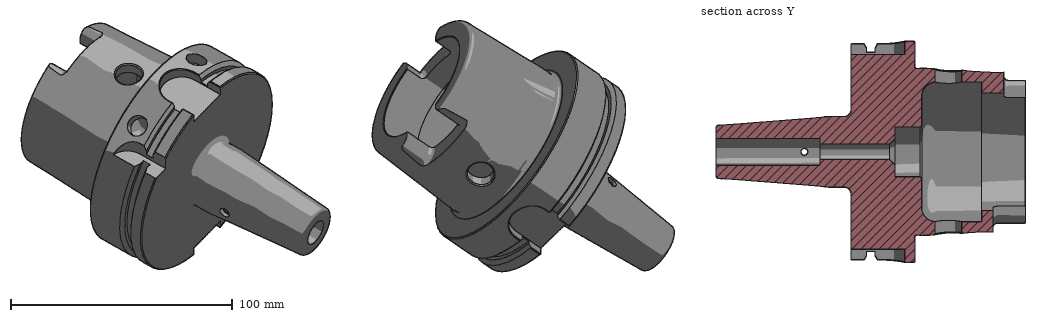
import cadquery as cq
import math


rear_x = -49.92
flange_width = 29.0
tip_x = 90.0

taper_end_x = -2.7
taper_end_radius = 37.87
taper_ratio = 9.98
relief_start_x = -1.9
relief_radius = 75.36 / 2
relief_fillet = 1.1
face_recess_radius = 39.6
face_recess_depth = 0.2
rear_rounding = 1.6

flange_radius = 50.0
rim_chamfer = 0.5
groove_center_x = 20.0
groove_radius = 46.1
groove_floor_half = 1.85
groove_mouth_half = 3.1
groove_side_angle = 30.0

neck_radius = 32.0 / 2
neck_fillet = 3.0
cone_start_x = 39.2
tip_radius = 24.0 / 2
tip_rounding = 1.5

mouth_radius = 53.0 / 2
clamp_radius = 63.0 / 2
clamp_start_x = -30.0
cavity_floor_x = -3.0
cavity_floor_fillet = 6.5
mouth_bevel = 0.35
thread_radius = 22.38 / 2
thread_mouth_radius = 24.0 / 2
thread_end_x = 9.0
countersink_radius = 12.0 / 2
through_radius = 6.92 / 2
tool_bore_radius = 12.0 / 2
tool_bore_depth = 47.0

drive_slots = [(1, -40.1), (-1, -35.17)]
slot_half_width = 10.0
slot_flare_radius = 5.0
slot_flare_height = 32.3
slot_floor_fillet = 2.0

keyway_radius = 10.0
keyway_center_x = 14.75
keyway_floor = 44.0
keyway_chamfer = 0.4
notch_center_y = -41.4
notch_floor = 31.5

clamp_hole_x = -15.0
clamp_hole_radius = 12.0 / 2
clamp_hole_chamfer = 0.6
rim_hole_x = 9.2
rim_hole_radius = 9.51 / 2
chip_hole_angle = 22.0
chip_hole_depth = 5.0
drill_hole_angle = -31.6
drill_hole_depth = 5.0
drill_point_angle = 118.0
side_hole_x = 50.0
side_hole_radius = 3.0 / 2
side_counterbore_radius = 5.0 / 2
side_counterbore_depth = 2.0

cut_clearance = 1.0
selection_margin = 0.1


def revolve_about_x(profile):
    return profile.close().revolve(360, (0, 0, 0), (1, 0, 0))


def make_body():
    taper_rear_radius = taper_end_radius - (taper_end_x - rear_x) / taper_ratio / 2
    groove_flank = (groove_mouth_half - groove_floor_half) / math.tan(math.radians(groove_side_angle))
    flank_foot_radius = flange_radius - groove_flank
    groove_left = groove_center_x - groove_floor_half
    groove_right = groove_center_x + groove_floor_half
    profile = (
        cq.Workplane("XY")
        .moveTo(rear_x, 0)
        .lineTo(rear_x, taper_rear_radius)
        .lineTo(taper_end_x, taper_end_radius)
        .lineTo(relief_start_x, relief_radius)
        .lineTo(face_recess_depth - relief_fillet, relief_radius)
        .radiusArc((face_recess_depth, relief_radius + relief_fillet), -relief_fillet)
        .lineTo(face_recess_depth, face_recess_radius)
        .lineTo(0, face_recess_radius)
        .lineTo(0, flange_radius - rim_chamfer)
        .lineTo(rim_chamfer, flange_radius)
        .lineTo(groove_center_x - groove_mouth_half, flange_radius)
        .lineTo(groove_left, flank_foot_radius)
        .lineTo(groove_left, groove_radius)
        .lineTo(groove_right, groove_radius)
        .lineTo(groove_right, flank_foot_radius)
        .lineTo(groove_center_x + groove_mouth_half, flange_radius)
        .lineTo(flange_width - rim_chamfer, flange_radius)
        .lineTo(flange_width, flange_radius - rim_chamfer)
        .lineTo(flange_width, neck_radius + neck_fillet)
        .radiusArc((flange_width + neck_fillet, neck_radius), -neck_fillet)
        .lineTo(cone_start_x, neck_radius)
        .lineTo(tip_x, tip_radius)
        .lineTo(tip_x, 0)
    )
    body = revolve_about_x(profile)
    body = body.faces("<X").edges().fillet(rear_rounding)
    return body.faces(">X").edges().fillet(tip_rounding)


def make_bore():
    thread_bevel = thread_mouth_radius - thread_radius
    tool_bore_end_x = tip_x - tool_bore_depth
    profile = (
        cq.Workplane("XY")
        .moveTo(rear_x, 0)
        .lineTo(rear_x, mouth_radius + mouth_bevel)
        .lineTo(rear_x + mouth_bevel, mouth_radius)
        .lineTo(clamp_start_x, mouth_radius)
        .lineTo(clamp_start_x, clamp_radius)
        .lineTo(cavity_floor_x - cavity_floor_fillet, clamp_radius)
        .radiusArc((cavity_floor_x, clamp_radius - cavity_floor_fillet), cavity_floor_fillet)
        .lineTo(cavity_floor_x, thread_mouth_radius)
        .lineTo(cavity_floor_x + thread_bevel, thread_radius)
        .lineTo(thread_end_x, thread_radius)
        .lineTo(thread_end_x, countersink_radius)
        .lineTo(thread_end_x + countersink_radius - through_radius, through_radius)
        .lineTo(tool_bore_end_x, through_radius)
        .lineTo(tool_bore_end_x, tool_bore_radius)
        .lineTo(tip_x, tool_bore_radius)
        .lineTo(tip_x, 0)
    )
    return revolve_about_x(profile)


def make_drive_slot(side, floor_x):
    """Slot across the shank wall whose outer corners flare outward; side is +1 for +Z, -1 for -Z."""
    flare_start = slot_flare_height - slot_flare_radius
    flare_half_width = slot_half_width + slot_flare_radius
    outer_half_width = flange_radius
    slot = (
        cq.Workplane("YZ", origin=(rear_x, 0, 0))
        .moveTo(-slot_half_width, 0)
        .lineTo(-slot_half_width, flare_start)
        .radiusArc((-flare_half_width, slot_flare_height), -slot_flare_radius)
        .lineTo(-outer_half_width, slot_flare_height)
        .lineTo(-outer_half_width, flange_radius)
        .lineTo(outer_half_width, flange_radius)
        .lineTo(outer_half_width, slot_flare_height)
        .lineTo(flare_half_width, slot_flare_height)
        .radiusArc((slot_half_width, flare_start), -slot_flare_radius)
        .lineTo(slot_half_width, 0)
        .close()
        .extrude(floor_x - rear_x)
    )
    slot = slot.faces(">X").edges().fillet(slot_floor_fillet)
    if side < 0:
        slot = slot.mirror("XY")
    return slot


def make_keyway(center_y, floor_z):
    """Round-ended slot cut down to floor_z and open toward the nose side of the flange."""
    height = flange_radius - floor_z
    straight = flange_width - keyway_center_x
    base = cq.Workplane("XY", origin=(keyway_center_x, center_y, floor_z))
    round_end = base.circle(keyway_radius).extrude(height)
    run = base.rect(straight, 2 * keyway_radius, centered=(False, True)).extrude(height)
    return round_end.union(run)


def cut_keyways(part):
    """Two opposite keyways on the flange, with the edges they leave on the flange rim chamfered."""
    keyway = make_keyway(0, keyway_floor)
    part = part.cut(keyway).cut(keyway.mirror("XY"))
    wall_top = math.sqrt(flange_radius**2 - keyway_radius**2)
    half_width = keyway_radius + selection_margin
    for side in (1, -1):
        lowest, highest = sorted(
            (side * (wall_top - selection_margin), side * (flange_radius + selection_margin))
        )
        rim_edges = cq.selectors.BoxSelector(
            (0, -half_width, lowest),
            (flange_width - rim_chamfer + selection_margin, half_width, highest),
            boundingbox=True,
        )
        part = part.edges(rim_edges).chamfer(keyway_chamfer)
    return part


def make_rim_hole(angle, depth, point_height):
    """Radial flange hole at an angle about X from +Z; point_height is the length of its conical end."""
    bottom = flange_radius - depth
    profile = (
        cq.Workplane("XZ")
        .moveTo(0, bottom - point_height)
        .lineTo(rim_hole_radius, bottom)
        .lineTo(rim_hole_radius, flange_radius + cut_clearance)
        .lineTo(0, flange_radius + cut_clearance)
        .close()
    )
    hole = profile.revolve(360, (0, 0, 0), (0, 1, 0))
    return hole.rotate((0, 0, 0), (1, 0, 0), -angle).translate((rim_hole_x, 0, 0))


def cut_clamp_holes(part):
    hole = (
        cq.Workplane("XY", origin=(clamp_hole_x, 0, -flange_radius))
        .circle(clamp_hole_radius)
        .extrude(2 * flange_radius)
    )
    part = part.cut(hole)
    reach = clamp_hole_radius + selection_margin
    for side in (1, -1):
        lowest, highest = sorted((side * clamp_radius, side * taper_end_radius))
        outer_rim = cq.selectors.BoxSelector(
            (clamp_hole_x - reach, -reach, lowest),
            (clamp_hole_x + reach, reach, highest),
        )
        part = part.edges(outer_rim).chamfer(clamp_hole_chamfer)
    return part


def make_side_hole():
    cone_slope = (neck_radius - tip_radius) / (tip_x - cone_start_x)
    surface_radius = neck_radius - (side_hole_x - cone_start_x) * cone_slope
    start = cq.Workplane("XZ", origin=(side_hole_x, 0, 0))
    hole = start.circle(side_hole_radius).extrude(neck_radius)
    counterbore = (
        start.workplane(offset=surface_radius - side_counterbore_depth)
        .circle(side_counterbore_radius)
        .extrude(neck_radius)
    )
    return hole.union(counterbore)


part = make_body().cut(make_bore())
part = cut_clamp_holes(part)
for side, floor_x in drive_slots:
    part = part.cut(make_drive_slot(side, floor_x))

part = cut_keyways(part)
part = part.cut(make_keyway(notch_center_y, notch_floor))

drill_point_height = rim_hole_radius / math.tan(math.radians(drill_point_angle / 2))
part = part.cut(make_rim_hole(chip_hole_angle, chip_hole_depth, 0))
part = part.cut(make_rim_hole(drill_hole_angle, drill_hole_depth, drill_point_height))
part = part.cut(make_side_hole())

result = part